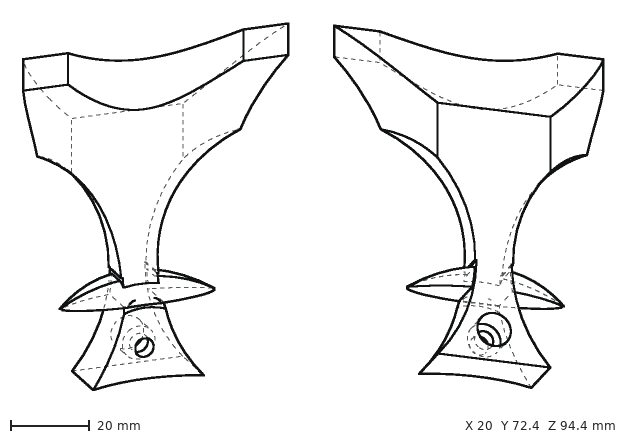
import cadquery as cq
import math

depth = 20.0
half_width = 36.21
height = 94.4

front_flat_top = 68.5
front_curve_mid = (8.5, 82.7)
back_curve_radius = 62.6
back_curve_front = 5.9
back_curve_height = 46.3

front_half_width = 15.2
flank_curve_mid = (7.9, 27.6)
plan_bore_radius = 39.65
plan_bore_front = 12.0

ledge_height = 26.9
upper_waist_radius = 38.9
upper_waist_half_width = 5.1
upper_waist_center_z = 27.4
lower_waist_radius = 41.35
lower_waist_half_width = 4.7
lower_waist_center_z = 27.4

guard_base = 20.0
guard_half_span = 21.15
guard_rise = 5.8
guard_axis_x = 6.9
guard_front_x = 1.0
guard_back_depth = 5.5
guard_tip_ratio = 0.98
guard_sections = 13
quarter_round = 4 / 3 * (math.sqrt(2) - 1)

hole_height = 8.5
hole_diameter = 5.0
counterbore_diameter = 9.0
counterbore_depth = 8.0


def side_profile():
    """Full-width slab with the curved front."""
    return (
        cq.Workplane("XZ")
        .lineTo(0, front_flat_top)
        .threePointArc(front_curve_mid, (depth, height))
        .lineTo(depth, 0)
        .close()
        .extrude(half_width, both=True)
    )


def plan_profile():
    """Full-height prism with curved flanks."""
    mid_x, mid_y = flank_curve_mid
    return (
        cq.Workplane("XY")
        .moveTo(0, -front_half_width)
        .threePointArc((mid_x, -mid_y), (depth, -half_width))
        .lineTo(depth, half_width)
        .threePointArc((mid_x, mid_y), (0, front_half_width))
        .close()
        .extrude(height)
    )


def back_bore():
    """Cylinder along Y that hollows the back."""
    return (
        cq.Workplane("XZ")
        .center(back_curve_front + back_curve_radius, back_curve_height)
        .circle(back_curve_radius)
        .extrude(half_width, both=True)
    )


def plan_bore():
    """Vertical cylinder that hollows the back and the top edge."""
    return (
        cq.Workplane("XY")
        .center(plan_bore_front + plan_bore_radius, 0)
        .circle(plan_bore_radius)
        .extrude(height)
    )


def waist_cutter(side, radius, waist_half_width, center_z, bottom, top):
    """Cylinder along X on one side, kept between two heights."""
    cylinder = (
        cq.Workplane("YZ")
        .center(side * (waist_half_width + radius), center_z)
        .circle(radius)
        .extrude(depth)
    )
    span = 4 * radius
    band = cq.Workplane("XY", origin=(0, 0, bottom)).rect(span, span).extrude(top - bottom)
    return cylinder.intersect(band)


def guard_back():
    """Rounded back of the guard: quarter ellipses lofted along Y under the ridge arc."""
    arch_radius = (guard_half_span**2 + guard_rise**2) / (2 * guard_rise)
    wires = []
    for index in range(guard_sections):
        share = guard_tip_ratio * (2 * index / (guard_sections - 1) - 1)
        y = share * guard_half_span
        section_depth = guard_back_depth * math.sqrt(1 - share**2)
        rise = math.sqrt(arch_radius**2 - y**2) - arch_radius + guard_rise
        plane = cq.Plane(origin=(guard_axis_x, y, guard_base), xDir=(1, 0, 0), normal=(0, -1, 0))
        section = (
            cq.Workplane(plane)
            .lineTo(section_depth, 0)
            .bezier(
                [
                    (section_depth, 0),
                    (section_depth, quarter_round * rise),
                    (quarter_round * section_depth, rise),
                    (0, rise),
                ]
            )
            .close()
        )
        wires.append(section.val())
    return cq.Workplane(cq.Solid.makeLoft(wires))


def crossguard():
    """Arched bar with an upright curved front and a rounded back."""
    ridge = (
        cq.Workplane("YZ")
        .moveTo(-guard_half_span, guard_base)
        .threePointArc((0, guard_base + guard_rise), (guard_half_span, guard_base))
        .close()
        .extrude(guard_axis_x)
    )
    front_plan = (
        cq.Workplane("XY", origin=(0, 0, guard_base))
        .moveTo(guard_axis_x, -guard_half_span)
        .threePointArc((guard_front_x, 0), (guard_axis_x, guard_half_span))
        .close()
        .extrude(guard_rise)
    )
    return ridge.intersect(front_plan).union(guard_back())


def screw_hole():
    through = cq.Workplane("YZ").center(0, hole_height).circle(hole_diameter / 2).extrude(depth)
    counterbore = (
        cq.Workplane("YZ")
        .center(0, hole_height)
        .circle(counterbore_diameter / 2)
        .extrude(counterbore_depth)
    )
    return through.union(counterbore)


upper_waist = (upper_waist_radius, upper_waist_half_width, upper_waist_center_z, ledge_height, height)
lower_waist = (lower_waist_radius, lower_waist_half_width, lower_waist_center_z, 0, ledge_height)

body = side_profile().intersect(plan_profile()).cut(back_bore())
for side in (-1, 1):
    for waist in (upper_waist, lower_waist):
        body = body.cut(waist_cutter(side, *waist))

result = body.union(crossguard()).cut(plan_bore()).cut(screw_hole())